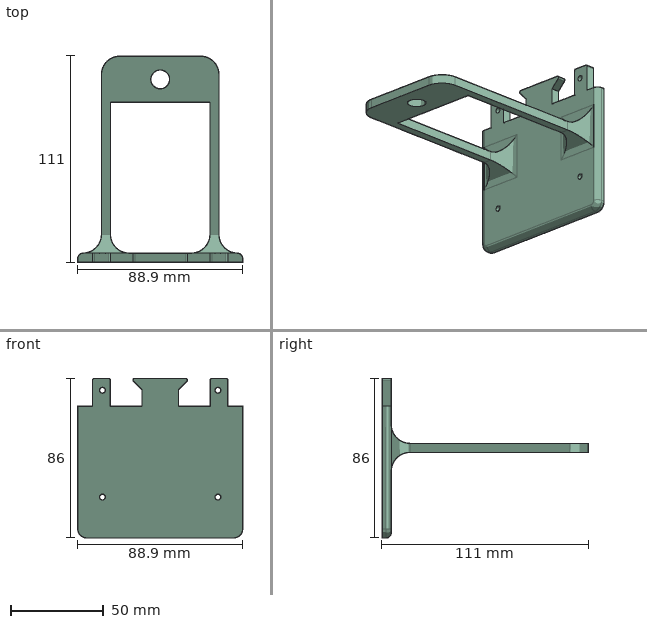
import cadquery as cq

plate_width = 88.9
total_height = 86.0
thickness = 5.0
tab_height = 15.0
shoulder_z = total_height - tab_height
plate_corner_radius = 5.0
back_edge_radius = 3.0

tab_width = 9.7
tab_center_x = 31.6
tip_radius = 1.0
neck_half_width = 9.9
dovetail_rise = 6.2
dovetail_half_width = neck_half_width + dovetail_rise

screw_diameter = 3.0
screw_x = 31.1
screw_heights = (22.1, total_height - 6.4)

total_depth = 111.0
frame_width = 63.4
arm_width = 5.0
frame_bottom_z = 46.1
frame_corner_radius = 10.0
window_end_y = 86.0
eye_diameter = 10.0
eye_y = 98.5
root_radius = 10.0


def make_plate():
    """Flat plate with rounded lower corners."""
    plate = cq.Workplane("XY").box(plate_width, thickness, shoulder_z, centered=(True, False, False))
    return plate.edges("|Y and <Z").fillet(plate_corner_radius)


def make_frame():
    """Frame with two arms, starting at the back face of the plate."""
    frame = (
        cq.Workplane("XY", origin=(0, thickness, frame_bottom_z))
        .box(frame_width, total_depth - thickness, thickness, centered=(True, False, False))
        .edges("|Z and >Y")
        .fillet(frame_corner_radius)
    )
    window = cq.Workplane("XY", origin=(0, thickness, frame_bottom_z)).box(
        frame_width - 2 * arm_width, window_end_y - thickness, thickness, centered=(True, False, False)
    )
    eye = cq.Workplane("XY", origin=(0, eye_y, frame_bottom_z)).circle(eye_diameter / 2).extrude(thickness)
    return frame.cut(window).cut(eye)


def flare_arm_roots(body):
    """Blend all four sides of each arm into the back face of the plate."""
    reach = frame_width / 2
    margin = 0.1
    root_zone = cq.selectors.BoxSelector(
        (-reach - margin, thickness - margin, frame_bottom_z - margin),
        (reach + margin, thickness + margin, frame_bottom_z + thickness + margin),
    )
    return body.edges(root_zone).fillet(root_radius)


def make_edge_envelope():
    """Volume that rounds the back edge of the plate along its sides and bottom."""
    slab = (
        cq.Workplane("XY")
        .box(plate_width, thickness, total_height, centered=(True, False, False))
        .edges("|Y and <Z")
        .fillet(plate_corner_radius)
    )
    back_rim = slab.faces(">Y").edges("not >Z")
    return back_rim.fillet(back_edge_radius)


def make_tab(center_x):
    tab = cq.Workplane("XY", origin=(center_x, 0, shoulder_z)).box(
        tab_width, thickness, tab_height, centered=(True, False, False)
    )
    return tab.edges("|Y and >Z").fillet(tip_radius)


def make_dovetail():
    flank_z = total_height - dovetail_rise
    outline = [
        (-neck_half_width, shoulder_z),
        (neck_half_width, shoulder_z),
        (neck_half_width, flank_z),
        (dovetail_half_width, total_height),
        (-dovetail_half_width, total_height),
        (-neck_half_width, flank_z),
    ]
    dovetail = cq.Workplane("XZ").polyline(outline).close().extrude(-thickness)
    return dovetail.edges("|Y and >Z").fillet(tip_radius)


plate = make_plate()
frame = make_frame()
body = flare_arm_roots(plate.union(frame))

edge_waste = plate.cut(make_edge_envelope())
result = body.cut(edge_waste)

for side in (-1, 1):
    result = result.union(make_tab(side * tab_center_x))
result = result.union(make_dovetail())

for side in (-1, 1):
    for height in screw_heights:
        screw_hole = (
            cq.Workplane("XZ", origin=(side * screw_x, 0, height))
            .circle(screw_diameter / 2)
            .extrude(-thickness)
        )
        result = result.cut(screw_hole)